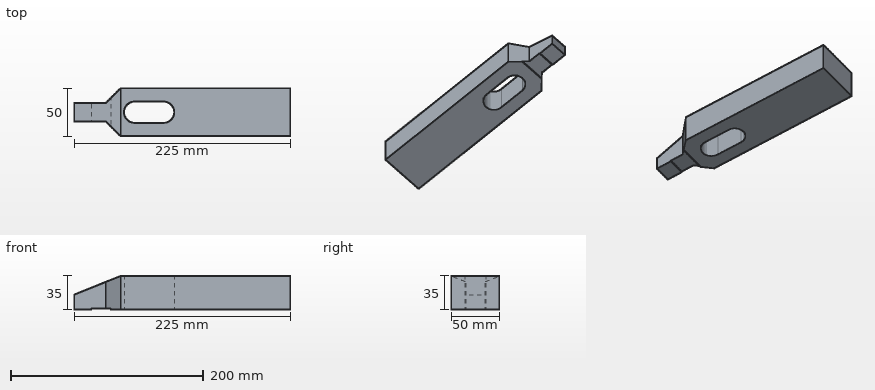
import cadquery as cq

length = 225.0
width = 50.0
height = 35.0

nose_width = 19.4
nose_tip_height = 15.6
nose_length = 33.0
flare_run = (width - nose_width) / 2
shoulder_x = nose_length + flare_run

slot_width = 22.0
slot_length = 52.0
slot_start_x = 52.0

contact_pad_length = 18.0
relief_length = 20.0
relief_depth = 1.0


def bar_profile():
    """Side shape with the sloped nose, extruded across the full width."""
    return (
        cq.Workplane("XZ")
        .moveTo(0, 0)
        .lineTo(length, 0)
        .lineTo(length, height)
        .lineTo(shoulder_x, height)
        .lineTo(0, nose_tip_height)
        .close()
        .extrude(width / 2, both=True)
    )


def plan_outline():
    """Plan shape with the narrow nose and flare, extruded to full height."""
    return (
        cq.Workplane("XY")
        .moveTo(0, -nose_width / 2)
        .lineTo(nose_length, -nose_width / 2)
        .lineTo(shoulder_x, -width / 2)
        .lineTo(length, -width / 2)
        .lineTo(length, width / 2)
        .lineTo(shoulder_x, width / 2)
        .lineTo(nose_length, nose_width / 2)
        .lineTo(0, nose_width / 2)
        .close()
        .extrude(height)
    )


def clamping_slot():
    """Round-ended slot along the bar."""
    return (
        cq.Workplane("XY")
        .center(slot_start_x + slot_length / 2, 0)
        .slot2D(slot_length, slot_width)
        .extrude(height)
    )


def underside_relief():
    """Shallow flat-topped channel running across the underside."""
    return (
        cq.Workplane("XY")
        .box(relief_length, width, relief_depth, centered=(False, True, False))
        .translate((contact_pad_length, 0, 0))
    )


result = (
    bar_profile()
    .intersect(plan_outline())
    .cut(clamping_slot())
    .cut(underside_relief())
)